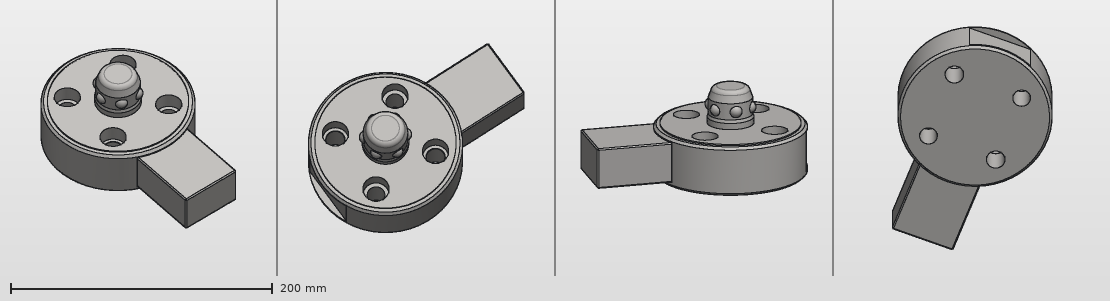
import cadquery as cq

overall_length = 171.0

disc_radius = 59.0
housing_height = 40.0
raised_face_radius = 54.0
raised_face_height = 1.0
disc_height = housing_height - raised_face_height
disc_chamfer = 2.0

hole_spacing = 55.0
hole_diameter = 13.5
counterbore_diameter = 20.0
counterbore_depth = 12.5
counterbore_floor_z = housing_height - counterbore_depth

wide_hole_diameter = 14.2
countersink_depth = 0.3

block_width = 50.0
block_height = 32.0
block_middle_z = housing_height / 2
pocket_floor_x = 53.0
block_end_x = overall_length - disc_radius
block_chamfer = 1.0

stud_base_radius = 18.0
stud_radius = 17.1
stud_height = 29.4
base_height = 5.0
base_taper_top = 7.5
nose_start = 20.5
nose_tip_radius = 13.9
nose_rounding = 4.6

ball_count = 6
ball_radius = 5.0
ball_circle_radius = 15.0
ball_height = 13.7


def make_disc():
    disc = cq.Workplane("XY").circle(disc_radius).extrude(disc_height)
    disc = disc.faces("<Z or >Z").edges().chamfer(disc_chamfer)
    raised_face = cq.Workplane("XY").circle(raised_face_radius).extrude(housing_height)
    return disc.union(raised_face)


def make_stud():
    profile = [
        (0, 0),
        (stud_base_radius, 0),
        (stud_base_radius, base_height),
        (stud_radius, base_taper_top),
        (stud_radius, nose_start),
        (nose_tip_radius, stud_height),
        (0, stud_height),
    ]
    stud = cq.Workplane("XZ").polyline(profile).close().revolve(360, (0, 0, 0), (0, 1, 0))
    stud = stud.faces(">Z").edges().fillet(nose_rounding)
    balls = (
        cq.Workplane("XY")
        .workplane(offset=ball_height)
        .polarArray(ball_circle_radius, 90, 360, ball_count)
        .sphere(ball_radius, combine=False)
    )
    for ball in balls.vals():
        stud = stud.union(cq.Workplane(ball))
    return stud.translate((0, 0, housing_height))


def block_section_box(start_x, end_x):
    """Box of the block's cross-section between two X positions."""
    box = cq.Workplane("XY").box(end_x - start_x, block_width, block_height)
    return box.translate(((start_x + end_x) / 2, 0, block_middle_z))


def hole_cutter(diameter):
    """Counterbored through hole on the Z axis."""
    through = cq.Workplane("XY").circle(diameter / 2).extrude(housing_height)
    counterbore = (
        cq.Workplane("XY", origin=(0, 0, counterbore_floor_z))
        .circle(counterbore_diameter / 2)
        .extrude(counterbore_depth)
    )
    return through.union(counterbore)


def wide_hole_cutter():
    """Wide counterbored hole with a 45 degree countersink below the counterbore floor."""
    hole_radius = wide_hole_diameter / 2
    countersink = cq.Workplane(
        cq.Solid.makeCone(
            hole_radius,
            hole_radius + countersink_depth,
            countersink_depth,
            cq.Vector(0, 0, counterbore_floor_z - countersink_depth),
        )
    )
    return hole_cutter(wide_hole_diameter).union(countersink)


def make_housing():
    housing = make_disc().union(make_stud())
    hole_offset = hole_spacing / 2
    for side in (-1, 1):
        plain_hole = hole_cutter(hole_diameter).translate((side * hole_offset, side * hole_offset, 0))
        wide_hole = wide_hole_cutter().translate((side * hole_offset, -side * hole_offset, 0))
        housing = housing.cut(plain_hole).cut(wide_hole)
    block_pocket = block_section_box(pocket_floor_x, block_end_x)
    opposite_pocket = block_pocket.mirror("YZ")
    return housing.cut(block_pocket).cut(opposite_pocket)


def make_block():
    return block_section_box(pocket_floor_x, block_end_x).edges("|X or >X").chamfer(block_chamfer)


housing = make_housing()
block = make_block()
result = cq.Compound.makeCompound([housing.val(), block.val()])